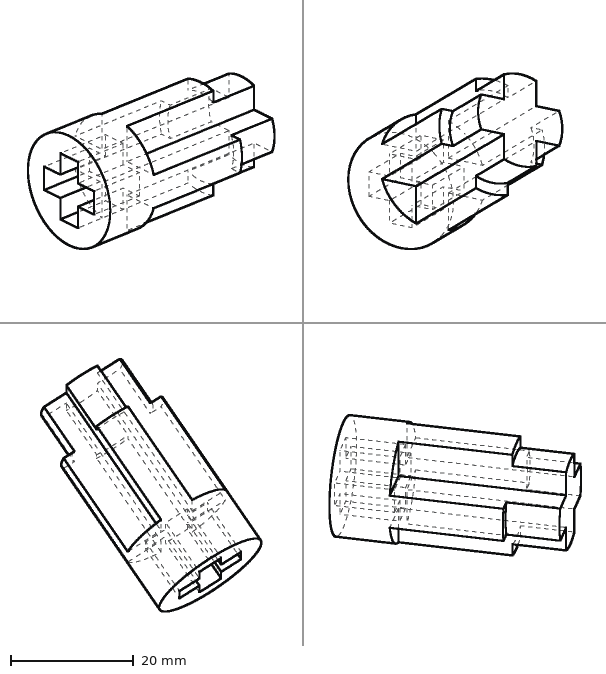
import cadquery as cq

total_length = 38.0
body_diameter = 20.0
neck_diameter = 16.0
neck_length = 9.0
head_length = 10.0
rib_thickness = 6.08
socket_span = 12.05
socket_slot_width = 4.25
socket_depth = head_length

body_length = total_length - neck_length
ribbed_length = total_length - head_length


def section_plane(y):
    """Plane across the axis at y, with its normal toward +Y."""
    return cq.Workplane(cq.Plane(origin=(0, y, 0), xDir=(1, 0, 0), normal=(0, 1, 0)))


def cylinder(y, diameter, length):
    return section_plane(y).circle(diameter / 2).extrude(length)


def cross(y, span, width, length):
    """Bar with a plus-shaped section, starting at y."""
    horizontal = section_plane(y).rect(span, width).extrude(length)
    vertical = section_plane(y).rect(width, span).extrude(length)
    return horizontal.union(vertical)


head = cylinder(0, body_diameter, head_length)
stepped_shaft = cylinder(0, body_diameter, body_length).union(
    cylinder(body_length, neck_diameter, neck_length)
)
ribs = stepped_shaft.intersect(cross(head_length, body_diameter, rib_thickness, ribbed_length))

socket = cross(0, socket_span, socket_slot_width, socket_depth)

result = head.union(ribs).cut(socket)